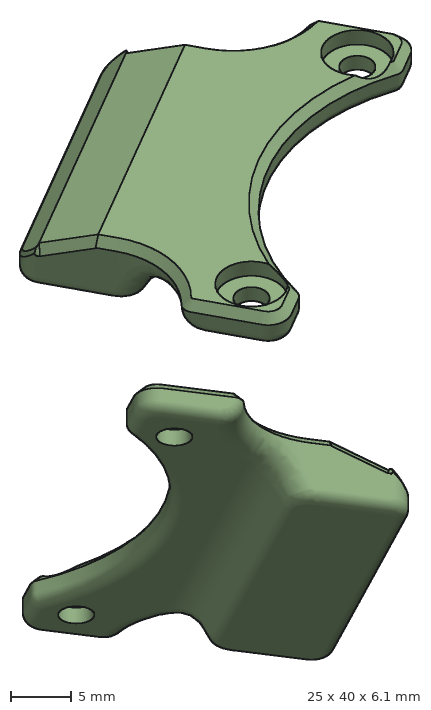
import cadquery as cq
import math

LENGTH = 25.0
WIDTH = 40.0
HEIGHT = 6.1

PLATE_THICKNESS = 3.0
NOSE_HEIGHT = 2.3
NOSE_TOP = 4.1
NOSE_LENGTH = 1.9
RAMP_END = 7.0
BASE_LENGTH = 10.35
UNDERCUT_ANGLE = 60.0
UNDERCUT_RADIUS = 3.0

BODY_WIDTH = 27.85
SIDE_ARC_START = 8.8
SIDE_ARC_RADIUS = 7.4
REAR_ARC_RADIUS = 20.0
REAR_ARC_FRONT = 17.85
EAR_CORNER_RADIUS = 2.0
EAR_INNER_RADIUS = 1.0

HOLE_DIAMETER = 3.0
COUNTERBORE_DIAMETER = 6.0
COUNTERBORE_DEPTH = 1.5
HOLE_INSET = 4.0

BASE_FILLET = 1.0
SIDE_ARC_FILLET = 2.1
CHAMFER = 0.8
NOSE_CHAMFER = 0.3

PLATE_UNDERSIDE = HEIGHT - PLATE_THICKNESS
UNDERCUT_END = BASE_LENGTH + PLATE_UNDERSIDE / math.tan(math.radians(UNDERCUT_ANGLE))
HALF_BODY = BODY_WIDTH / 2
HALF_WIDTH = WIDTH / 2
SIDE_ARC_Y = HALF_BODY + SIDE_ARC_RADIUS
EAR_FRONT = SIDE_ARC_START + math.sqrt(SIDE_ARC_RADIUS**2 - (SIDE_ARC_Y - HALF_WIDTH) ** 2)
REAR_ARC_X = REAR_ARC_FRONT + REAR_ARC_RADIUS
EAR_INNER = math.sqrt(REAR_ARC_RADIUS**2 - (REAR_ARC_X - LENGTH) ** 2)


def nearest(x, y, z):
    """Selector for the edge whose centre lies closest to a point."""
    return cq.selectors.NearestToPointSelector((x, y, z))


def side_arc_point(turn):
    """Point on the +Y side arc, a given turn away from the body's straight side."""
    return (
        SIDE_ARC_START + SIDE_ARC_RADIUS * math.sin(turn),
        SIDE_ARC_Y - SIDE_ARC_RADIUS * math.cos(turn),
    )


SIDE_ARC_MID = side_arc_point(math.asin((EAR_FRONT - SIDE_ARC_START) / SIDE_ARC_RADIUS) / 2)


def side_profile():
    """Thick body and thin plate, extruded across the full width, before the nose is cut."""
    blank = (
        cq.Workplane("XZ")
        .moveTo(0, 0)
        .lineTo(BASE_LENGTH, 0)
        .lineTo(UNDERCUT_END, PLATE_UNDERSIDE)
        .lineTo(LENGTH, PLATE_UNDERSIDE)
        .lineTo(LENGTH, HEIGHT)
        .lineTo(0, HEIGHT)
        .close()
        .extrude(HALF_WIDTH, both=True)
    )
    return blank.edges(nearest(UNDERCUT_END, 0, PLATE_UNDERSIDE)).fillet(UNDERCUT_RADIUS)


def plan_outline():
    """Plan outline with rounded corners, as a prism of the full height."""
    prism = (
        cq.Workplane("XY")
        .moveTo(0, -HALF_BODY)
        .lineTo(SIDE_ARC_START, -HALF_BODY)
        .threePointArc((SIDE_ARC_MID[0], -SIDE_ARC_MID[1]), (EAR_FRONT, -HALF_WIDTH))
        .lineTo(LENGTH, -HALF_WIDTH)
        .lineTo(LENGTH, -EAR_INNER)
        .threePointArc((REAR_ARC_FRONT, 0), (LENGTH, EAR_INNER))
        .lineTo(LENGTH, HALF_WIDTH)
        .lineTo(EAR_FRONT, HALF_WIDTH)
        .threePointArc(SIDE_ARC_MID, (SIDE_ARC_START, HALF_BODY))
        .lineTo(0, HALF_BODY)
        .close()
        .extrude(HEIGHT)
    )
    corners = (
        (0, HALF_BODY, NOSE_LENGTH),
        (LENGTH, HALF_WIDTH, EAR_CORNER_RADIUS),
        (LENGTH, EAR_INNER, EAR_INNER_RADIUS),
    )
    for x, y, radius in corners:
        for side in (-1, 1):
            prism = prism.edges("|Z").edges(nearest(x, side * y, HEIGHT / 2)).fillet(radius)
    return prism


def round_underside(part):
    """Large fillet under each side arc, then the small fillet around every other lower edge."""
    for side in (-1, 1):
        arc_edge = nearest(SIDE_ARC_MID[0], side * SIDE_ARC_MID[1], PLATE_UNDERSIDE)
        part = part.edges(arc_edge).fillet(SIDE_ARC_FILLET)

    lower_edges = part.faces("<Z").edges()
    ear_middle = (EAR_FRONT + LENGTH) / 2
    for side in (-1, 1):
        lower_edges = lower_edges.add(part.edges(nearest(ear_middle, side * HALF_WIDTH, PLATE_UNDERSIDE)))
        lower_edges = lower_edges.add(part.edges("|Z").edges(nearest(EAR_FRONT, side * HALF_WIDTH, HEIGHT)))
    return lower_edges.fillet(BASE_FILLET)


def nose_waste():
    """Material ahead of the ramp's top end that lies outside the chamfered nose."""
    ramp_slope = (HEIGHT - NOSE_TOP) / (RAMP_END - NOSE_LENGTH)
    wedge_length = LENGTH / 2
    wedge_top = HEIGHT + ramp_slope * (wedge_length - RAMP_END)
    nose = (
        cq.Workplane("XZ")
        .moveTo(0, 0)
        .lineTo(wedge_length, 0)
        .lineTo(wedge_length, wedge_top)
        .lineTo(NOSE_LENGTH, NOSE_TOP)
        .lineTo(0, NOSE_HEIGHT)
        .close()
        .extrude(HALF_BODY, both=True)
    )
    corners = cq.Workplane("XY").box(wedge_length, BODY_WIDTH, wedge_top, centered=(False, True, False))
    nose = nose.intersect(corners.edges("|Z and <X").fillet(NOSE_LENGTH))
    for side in (-1, 1):
        ramp_side = nearest((NOSE_LENGTH + wedge_length) / 2, side * HALF_BODY, (NOSE_TOP + wedge_top) / 2)
        nose = nose.edges(ramp_side).chamfer(CHAMFER)
    nose = nose.edges(nearest(0, 0, NOSE_HEIGHT)).chamfer(NOSE_CHAMFER)
    return cq.Workplane("XY").box(RAMP_END, WIDTH, HEIGHT, centered=(False, True, False)).cut(nose)


def drill_ears(part):
    """Counterbored screw hole in each ear."""
    hole_y = HALF_WIDTH - HOLE_INSET
    return (
        part.faces(">Z").workplane(origin=(0, 0, HEIGHT))
        .pushPoints([(LENGTH - HOLE_INSET, -hole_y), (LENGTH - HOLE_INSET, hole_y)])
        .cboreHole(HOLE_DIAMETER, COUNTERBORE_DIAMETER, COUNTERBORE_DEPTH)
    )


plate = round_underside(side_profile().intersect(plan_outline()))
plate = plate.faces(">Z").chamfer(CHAMFER)
plate = plate.cut(nose_waste())
result = drill_ears(plate)